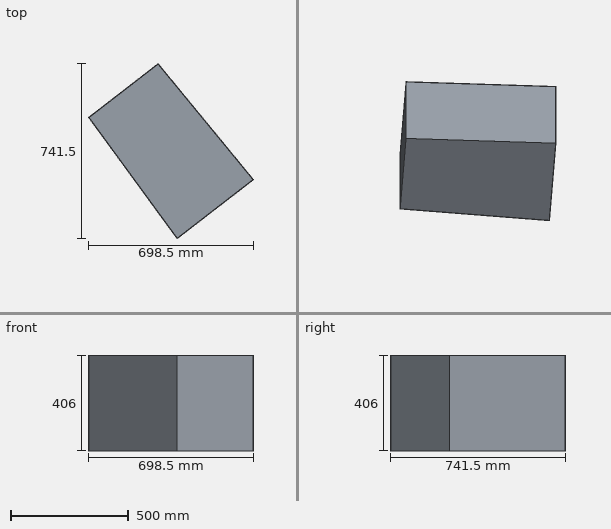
import cadquery as cq

width = 698.5
depth = 741.5
height = 406.0

front_corner_x = 375.0
back_corner_x = 294.0
left_corner_y = 514.0
right_corner_y = 250.0

footprint = [
    (front_corner_x, 0),
    (width, right_corner_y),
    (back_corner_x, depth),
    (0, left_corner_y),
]

result = cq.Workplane("XY").polyline(footprint).close().extrude(height)